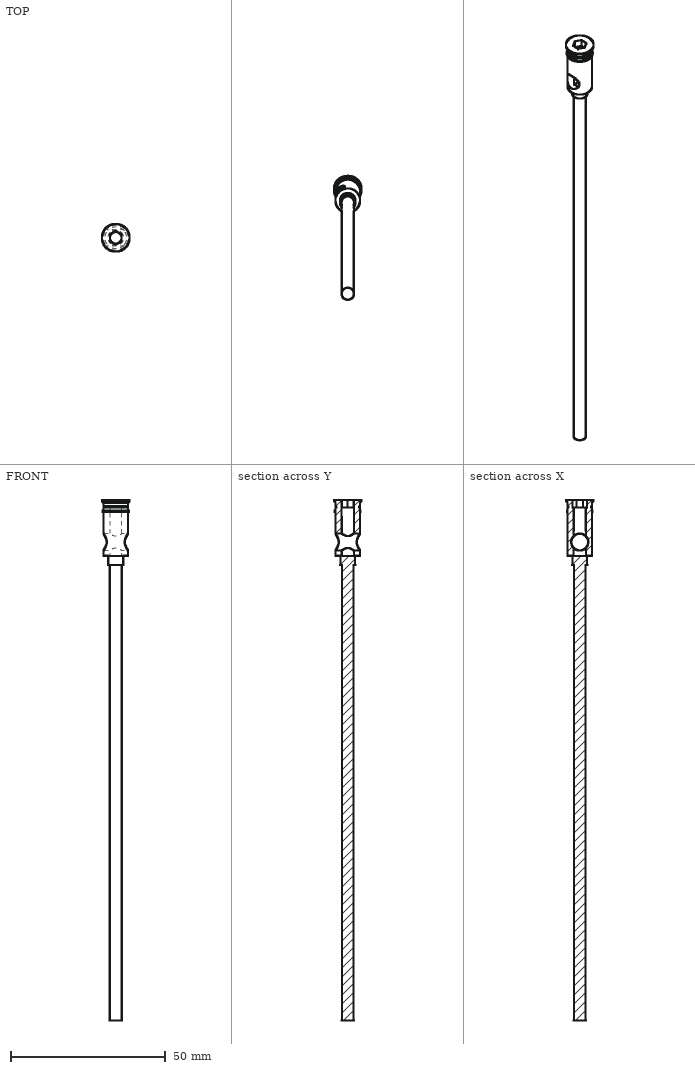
import cadquery as cq
import math

total_length = 168.0
rod_diameter = 4.0
collar_diameter = 5.0
collar_length = 3.0
head_diameter = 8.0
head_length = 18.0

rim_diameter = 9.0
lip_thickness = 0.4
groove_drop = 1.9
groove_depth = 0.5
lower_lip_diameter = 8.4
lower_lip_drop = 3.4

cross_hole_diameter = 5.4
cross_hole_drop = 13.58
hex_across_flats = 3.8
hex_depth = 2.5
bore_diameter = hex_across_flats
bore_depth = head_length

rod_radius = rod_diameter / 2
collar_radius = collar_diameter / 2
head_radius = head_diameter / 2
rim_radius = rim_diameter / 2
lower_lip_radius = lower_lip_diameter / 2
groove_radius = head_radius - groove_depth
head_bottom = total_length - head_length
collar_bottom = head_bottom - collar_length
rim_bottom = total_length - lip_thickness
rim_taper_end = rim_bottom - (rim_radius - head_radius)
groove_top = total_length - groove_drop
groove_bottom = groove_top - groove_depth
lower_lip_top = total_length - lower_lip_drop
lower_lip_bottom = lower_lip_top - lip_thickness


def make_turned_body():
    """Revolve the half profile of rod, collar and ringed head about Z."""
    profile = [
        (0, 0),
        (rod_radius, 0),
        (rod_radius, collar_bottom),
        (collar_radius, collar_bottom),
        (collar_radius, head_bottom),
        (head_radius, head_bottom),
        (head_radius, lower_lip_bottom),
        (lower_lip_radius, lower_lip_bottom),
        (lower_lip_radius, lower_lip_top),
        (head_radius, lower_lip_top),
        (head_radius, groove_bottom),
        (groove_radius, groove_bottom),
        (head_radius, groove_top),
        (head_radius, rim_taper_end),
        (rim_radius, rim_bottom),
        (rim_radius, total_length),
        (0, total_length),
    ]
    return cq.Workplane("XZ").polyline(profile).close().revolve(360, (0, 0, 0), (0, 1, 0))


def make_cross_hole():
    """Hole along X, through the whole head."""
    axis_height = total_length - cross_hole_drop
    plane = cq.Workplane("YZ").center(0, axis_height)
    return plane.circle(cross_hole_diameter / 2).extrude(head_diameter, both=True)


def make_hex_socket():
    """Hexagonal socket in the top face, with two flats facing +X and -X."""
    across_corners = hex_across_flats / math.cos(math.pi / 6)
    plane = cq.Workplane("XY").workplane(offset=total_length)
    socket = plane.polygon(6, across_corners).extrude(-hex_depth)
    return socket.rotate((0, 0, 0), (0, 0, 1), 90)


def make_axial_bore():
    """Blind bore from the socket down past the cross hole."""
    plane = cq.Workplane("XY").workplane(offset=total_length)
    return plane.circle(bore_diameter / 2).extrude(-bore_depth)


result = make_turned_body()
result = result.cut(make_cross_hole())
result = result.cut(make_hex_socket())
result = result.cut(make_axial_bore()).solids()